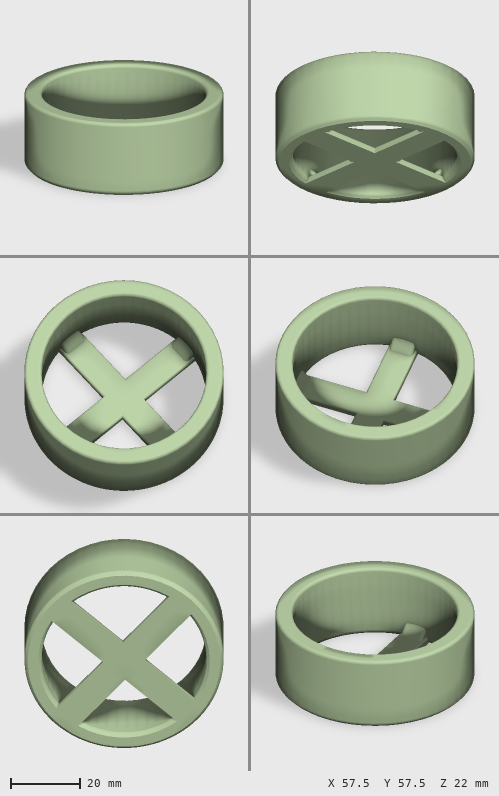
import cadquery as cq

OUTER_DIAMETER = 57.5
INNER_DIAMETER = 47.5
HEIGHT = 22.0
TOP_FILLET = 1.0
BOTTOM_CHAMFER = 1.0
CHAMFER_BLEND = 1.0

ARM_WIDTH = 8.5
ARM_THICKNESS = 2.0
ARM_EDGE_FILLET = 0.7

GUSSET_WIDTH = ARM_WIDTH - 2 * ARM_EDGE_FILLET
GUSSET_REACH = 3.0
GUSSET_RISE = 3.0
GUSSET_FILLET = 1.0
GUSSET_COUNT = 4

OUTER_RADIUS = OUTER_DIAMETER / 2
INNER_RADIUS = INNER_DIAMETER / 2
MID_WALL_RADIUS = (OUTER_RADIUS + INNER_RADIUS) / 2


def make_ring():
    """Tube with rounded top edges and chamfered, blended bottom edges."""
    tube = cq.Workplane("XY").circle(OUTER_RADIUS).circle(INNER_RADIUS).extrude(HEIGHT)
    tube = tube.faces(">Z").edges().fillet(TOP_FILLET)
    tube = tube.faces("<Z").edges().chamfer(BOTTOM_CHAMFER)
    chamfer_upper_edges = cq.selectors.CenterNthSelector(cq.Vector(0, 0, 1), 1)
    return tube.edges("%CIRCLE").edges(chamfer_upper_edges).fillet(CHAMFER_BLEND)


def make_cross():
    """Two crossing arms with rounded top edges, ending inside the ring wall."""
    arm_length = 2 * MID_WALL_RADIUS
    arm_x = cq.Workplane("XY").rect(arm_length, ARM_WIDTH).extrude(ARM_THICKNESS)
    arm_y = cq.Workplane("XY").rect(ARM_WIDTH, arm_length).extrude(ARM_THICKNESS)
    arm_x = arm_x.faces(">Z").edges("|X").fillet(ARM_EDGE_FILLET)
    arm_y = arm_y.faces(">Z").edges("|Y").fillet(ARM_EDGE_FILLET)
    return arm_x.union(arm_y)


def make_gusset():
    """Wedge on the +X arm, sloping up to the wall, with rounded slope edges."""
    slope = GUSSET_RISE / GUSSET_REACH
    toe_radius = INNER_RADIUS - GUSSET_REACH
    base_radius = toe_radius - ARM_THICKNESS / slope
    peak_height = (MID_WALL_RADIUS - base_radius) * slope
    wedge = (
        cq.Workplane("XZ")
        .moveTo(base_radius, 0)
        .lineTo(MID_WALL_RADIUS, 0)
        .lineTo(MID_WALL_RADIUS, peak_height)
        .close()
        .extrude(GUSSET_WIDTH / 2, both=True)
    )
    slope_edges = "(not |X) and (not |Y) and (not |Z)"
    return wedge.edges(slope_edges).fillet(GUSSET_FILLET)


def make_part():
    """Ring, cross floor and one gusset per arm end, joined into one solid."""
    part = make_ring().union(make_cross())
    gusset = make_gusset()
    for index in range(GUSSET_COUNT):
        angle = index * 360 / GUSSET_COUNT
        part = part.union(gusset.rotate((0, 0, 0), (0, 0, 1), angle))
    return part


result = make_part()